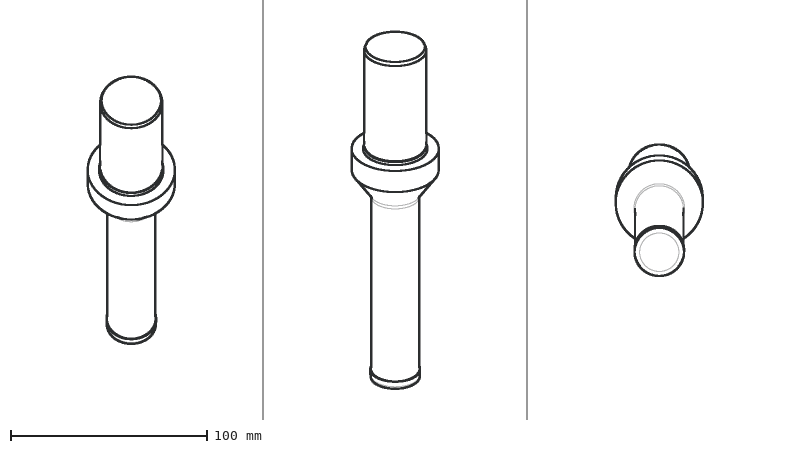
import cadquery as cq

TOTAL_HEIGHT = 196.2

SHANK_RADIUS = 15.9
SHANK_LENGTH = 60.5
SHANK_BEVEL_WIDTH = 0.8
SHANK_BEVEL_HEIGHT = 2.0

UNDERCUT_RADIUS = 15.5
UNDERCUT_FOOT_RADIUS = 16.5
UNDERCUT_HEIGHT = 2.0
UNDERCUT_FLARE_HEIGHT = 1.2
UNDERCUT_TAPER_HEIGHT = 0.4

COLLAR_DIAMETER = 44.5
COLLAR_RADIUS = COLLAR_DIAMETER / 2
COLLAR_HEIGHT = 12.5
CONE_HEIGHT = 13.7
CONE_END_RADIUS = 13.0

NECK_RADIUS = 12.4
BLEND_HEIGHT = 2.2

TIP_RADIUS = 12.8
TIP_HEIGHT = 5.0
TIP_RIM_RADIUS = 12.5
TIP_RIM_HEIGHT = 2.0
TIP_FACE_RADIUS = 10.0
TIP_BEVEL_HEIGHT = 0.5

COLLAR_TOP = TOTAL_HEIGHT - SHANK_LENGTH
SHANK_BOTTOM = COLLAR_TOP + UNDERCUT_HEIGHT
COLLAR_BOTTOM = COLLAR_TOP - COLLAR_HEIGHT
CONE_BOTTOM = COLLAR_BOTTOM - CONE_HEIGHT
NECK_TOP = CONE_BOTTOM - BLEND_HEIGHT


def revolve_about_z(profile):
    """Turn a closed profile of (radius, height) points around the Z axis."""
    return profile.close().revolve(360, (0, 0, 0), (0, 1, 0))


def make_holder():
    """Shank, undercut, collar, cone and neck, turned as one body."""
    profile = (
        cq.Workplane("XZ")
        .moveTo(0, TIP_HEIGHT)
        .lineTo(NECK_RADIUS, TIP_HEIGHT)
        .lineTo(NECK_RADIUS, NECK_TOP)
        .tangentArcPoint((CONE_END_RADIUS, CONE_BOTTOM), relative=False)
        .lineTo(COLLAR_RADIUS, COLLAR_BOTTOM)
        .lineTo(COLLAR_RADIUS, COLLAR_TOP)
        .lineTo(UNDERCUT_FOOT_RADIUS, COLLAR_TOP)
        .lineTo(UNDERCUT_RADIUS, COLLAR_TOP + UNDERCUT_FLARE_HEIGHT)
        .lineTo(UNDERCUT_RADIUS, SHANK_BOTTOM - UNDERCUT_TAPER_HEIGHT)
        .lineTo(SHANK_RADIUS, SHANK_BOTTOM)
        .lineTo(SHANK_RADIUS, TOTAL_HEIGHT - SHANK_BEVEL_HEIGHT)
        .lineTo(SHANK_RADIUS - SHANK_BEVEL_WIDTH, TOTAL_HEIGHT)
        .lineTo(0, TOTAL_HEIGHT)
    )
    return revolve_about_z(profile)


def make_tip():
    """Slightly wider cap under the neck, with a two-step bevel around its lower face."""
    profile = (
        cq.Workplane("XZ")
        .lineTo(TIP_FACE_RADIUS, 0)
        .lineTo(TIP_RIM_RADIUS, TIP_BEVEL_HEIGHT)
        .lineTo(TIP_RADIUS, TIP_RIM_HEIGHT)
        .lineTo(TIP_RADIUS, TIP_HEIGHT)
        .lineTo(0, TIP_HEIGHT)
    )
    return revolve_about_z(profile)


holder = make_holder()
tip = make_tip()

result = cq.Compound.makeCompound([holder.val(), tip.val()])